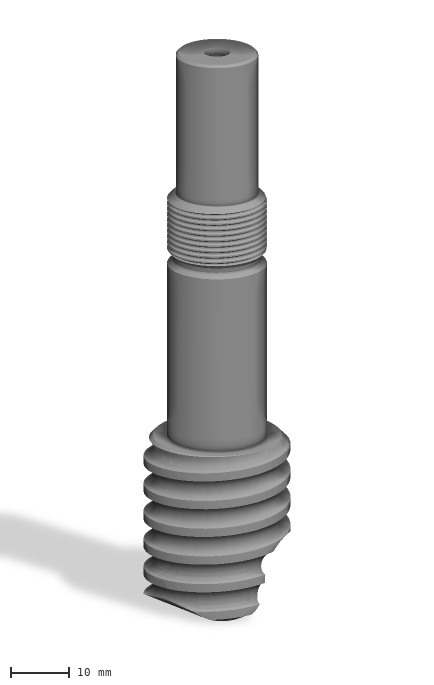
import cadquery as cq
import math

total_length = 98.7
journal_diameter = 17.0
tip_diameter = 14.0
tip_chamfer = 0.4

worm_diameter = 25.0
worm_radius = worm_diameter / 2
worm_length = 29.7
worm_root_radius = 11.0
worm_chamfer = 1.6

six_turn_rise = 30.0
worm_pitch = six_turn_rise / 6
groove_radius = 1.8
groove_centre_radius = worm_root_radius + groove_radius
groove_height_at_x_axis = -0.46
groove_start_angle = 90.0
groove_start_height = groove_height_at_x_axis + worm_pitch * (groove_start_angle / 360 - 1)
groove_turns = 7

end_arc_radius = worm_radius / 2
end_step_height = 0.54
end_cut_clearance = 1.0

relief_start = 60.7
relief_chamfer = 0.9
relief_diameter = journal_diameter - 2 * relief_chamfer
thread_start = 62.4
thread_end = 73.4
thread_pitch = 1.0
thread_depth = 0.64
thread_cutter_clearance = 0.1
thread_end_diameter = 14.9
thread_chamfer = (journal_diameter - thread_end_diameter) / 2
thread_flank_angle = 30.0

hole_diameter = 3.2
hole_depth = 7.9
hole_mouth_diameter = 4.6
drill_point_angle = 118.0


def make_blank():
    """Turned outline of the shaft, revolved about Z."""
    journal_radius = journal_diameter / 2
    relief_radius = relief_diameter / 2
    tip_radius = tip_diameter / 2
    outline = [
        (0, 0),
        (worm_radius, 0),
        (worm_radius, worm_length - worm_chamfer),
        (worm_radius - worm_chamfer, worm_length),
        (journal_radius, worm_length),
        (journal_radius, relief_start),
        (relief_radius, relief_start + relief_chamfer),
        (relief_radius, thread_start),
        (journal_radius, thread_start + journal_radius - relief_radius),
        (journal_radius, thread_end - thread_chamfer),
        (thread_end_diameter / 2, thread_end),
        (tip_radius, thread_end),
        (tip_radius, total_length - tip_chamfer),
        (tip_radius - tip_chamfer, total_length),
        (0, total_length),
    ]
    return cq.Workplane("XZ").polyline(outline).close().revolve(360, (0, 0), (0, 1))


def sweep_turn(profile, pitch, start_height, radius):
    """Sweep a closed profile in the XZ plane along one turn of a right-hand helix."""
    path = cq.Wire.makeHelix(pitch, pitch, radius).translate(cq.Vector(0, 0, start_height))
    return profile.sweep(cq.Workplane(obj=path), isFrenet=True)


def cut_turns(body, turn_cutter, pitch, turns):
    """Cut a helical groove turn by turn, each turn starting where the last one ended."""
    for turn in range(turns):
        body = body.cut(turn_cutter.translate((0, 0, turn * pitch)))
    return body


def make_worm_groove_turn():
    """Lowest turn of the worm groove, which starts below the worm on the +Y side."""
    profile = (
        cq.Workplane("XZ", origin=(groove_centre_radius, 0, groove_start_height))
        .circle(groove_radius)
    )
    cutter = sweep_turn(profile, worm_pitch, groove_start_height, groove_centre_radius)
    return cutter.rotate((0, 0, 0), (0, 0, 1), groove_start_angle)


def make_thread_groove_turn():
    """Lowest turn of the V groove of the fine thread, starting at the relief."""
    root_radius = journal_diameter / 2 - thread_depth
    mouth_radius = journal_diameter / 2 + thread_cutter_clearance
    half_mouth = (mouth_radius - root_radius) * math.tan(math.radians(thread_flank_angle))
    profile = cq.Workplane("XZ").polyline([
        (root_radius, thread_start),
        (mouth_radius, thread_start - half_mouth),
        (mouth_radius, thread_start + half_mouth),
    ]).close()
    return sweep_turn(profile, thread_pitch, thread_start, root_radius)


def make_end_cut():
    """S-shaped cut along X: rounds the -Y half of the worm end and hollows the +Y half."""
    reach = worm_radius + end_cut_clearance
    hollow_centre_height = end_arc_radius + end_step_height
    exit_offset = worm_root_radius - end_arc_radius
    exit_height = hollow_centre_height + math.sqrt(end_arc_radius**2 - exit_offset**2)
    return (
        cq.Workplane("YZ")
        .moveTo(-reach, -end_cut_clearance)
        .lineTo(reach, -end_cut_clearance)
        .lineTo(reach, exit_height)
        .lineTo(worm_root_radius, exit_height)
        .threePointArc((end_arc_radius, hollow_centre_height + end_arc_radius), (0, hollow_centre_height))
        .lineTo(0, end_arc_radius)
        .threePointArc((-end_arc_radius, 0), (-worm_radius, end_arc_radius))
        .lineTo(-reach, end_arc_radius)
        .close()
        .extrude(reach, both=True)
    )


def make_centre_hole():
    """Blind drilled hole with a 90 degree mouth."""
    radius = hole_diameter / 2
    mouth_radius = hole_mouth_diameter / 2
    hole_bottom = total_length - hole_depth
    point_height = radius / math.tan(math.radians(drill_point_angle / 2))
    outline = [
        (0, hole_bottom - point_height),
        (radius, hole_bottom),
        (radius, total_length - (mouth_radius - radius)),
        (mouth_radius, total_length),
        (0, total_length),
    ]
    return cq.Workplane("XZ").polyline(outline).close().revolve(360, (0, 0), (0, 1))


thread_turns = math.ceil((thread_end - thread_start) / thread_pitch)

result = make_blank()
result = cut_turns(result, make_worm_groove_turn(), worm_pitch, groove_turns)
result = cut_turns(result, make_thread_groove_turn(), thread_pitch, thread_turns)
result = result.cut(make_end_cut())
result = result.cut(make_centre_hole())